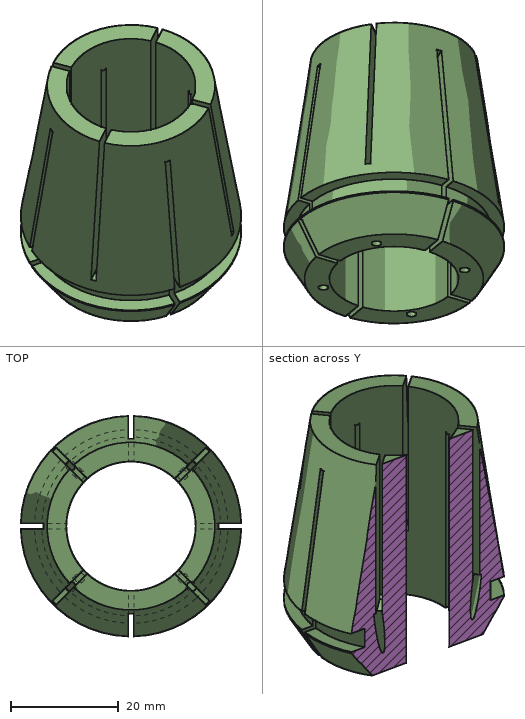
import cadquery as cq
import math

HEIGHT = 46.0
MAX_RADIUS = 20.5
BORE_RADIUS = 12.0
GROOVE_RADIUS = 18.0
GROOVE_BOTTOM = 7.0
GROOVE_TOP = 11.0
RIM_HEIGHT = 0.3
NOSE_ANGLE = 30.0
TAPER_ANGLE = 8.0

SLOT_WIDTH = 1.0
SLOTS_PER_SET = 4
SAW_RADIUS = 20.0
LOWER_SAW_CENTRE_RADIUS = 23.5
LOWER_SLOT_CREST = 42.35
UPPER_SAW_CENTRE_RADIUS = 17.8
UPPER_SLOT_CREST = 13.25
OVERCUT = 5.0

JET_DIAMETER = 1.8
JET_START_RADIUS = 15.85
JET_ANGLE = 10.0
JET_LEAD_IN = 0.2


def make_body():
    """Revolve the nose, groove and clamping cone around the bore."""
    rim_bottom = GROOVE_BOTTOM - RIM_HEIGHT
    nose_radius = MAX_RADIUS - rim_bottom * math.tan(math.radians(NOSE_ANGLE))
    taper_length = HEIGHT - GROOVE_TOP
    top_radius = MAX_RADIUS - taper_length * math.tan(math.radians(TAPER_ANGLE))
    outline = [
        (BORE_RADIUS, 0),
        (nose_radius, 0),
        (MAX_RADIUS, rim_bottom),
        (MAX_RADIUS, GROOVE_BOTTOM),
        (GROOVE_RADIUS, GROOVE_BOTTOM),
        (GROOVE_RADIUS, GROOVE_TOP),
        (MAX_RADIUS, GROOVE_TOP),
        (top_radius, HEIGHT),
        (BORE_RADIUS, HEIGHT),
    ]
    return cq.Workplane("XZ").polyline(outline).close().revolve(360, (0, 0), (0, 1))


def make_slot_cutter(saw_centre_radius, crest, open_end):
    """Thin plate in the XZ plane from open_end to the saw arc that peaks at crest."""
    inner = BORE_RADIUS / 2
    outer = MAX_RADIUS + OVERCUT
    direction = math.copysign(1, crest - open_end)
    saw_centre = crest - direction * SAW_RADIUS

    def arc_point(radius):
        offset = radius - saw_centre_radius
        return (radius, saw_centre + direction * math.sqrt(SAW_RADIUS**2 - offset**2))

    return (
        cq.Workplane("XZ")
        .moveTo(inner, open_end)
        .lineTo(*arc_point(inner))
        .threePointArc(arc_point((inner + outer) / 2), arc_point(outer))
        .lineTo(outer, open_end)
        .close()
        .extrude(SLOT_WIDTH / 2, both=True)
    )


def make_jet_cutter():
    """Tilted cylinder in the XZ plane running from the upper slot floor past the nose face."""
    return (
        cq.Workplane("XY")
        .workplane(offset=JET_LEAD_IN)
        .circle(JET_DIAMETER / 2)
        .extrude(-(UPPER_SLOT_CREST + OVERCUT))
        .rotate((0, 0, 0), (0, 1, 0), JET_ANGLE)
        .translate((JET_START_RADIUS, 0, UPPER_SLOT_CREST))
    )


def cut_around(body, cutter, first_angle):
    """Repeat one cutter at equal spacing around Z, once per slot of a set."""
    for index in range(SLOTS_PER_SET):
        angle = first_angle + index * 360 / SLOTS_PER_SET
        body = body.cut(cutter.rotate((0, 0, 0), (0, 0, 1), angle))
    return body


lower_slot = make_slot_cutter(LOWER_SAW_CENTRE_RADIUS, LOWER_SLOT_CREST, -OVERCUT)
upper_slot = make_slot_cutter(UPPER_SAW_CENTRE_RADIUS, UPPER_SLOT_CREST, HEIGHT + OVERCUT)
upper_set_angle = 180 / SLOTS_PER_SET

result = cut_around(make_body(), lower_slot, 0)
result = cut_around(result, upper_slot, upper_set_angle)
result = cut_around(result, make_jet_cutter(), upper_set_angle)